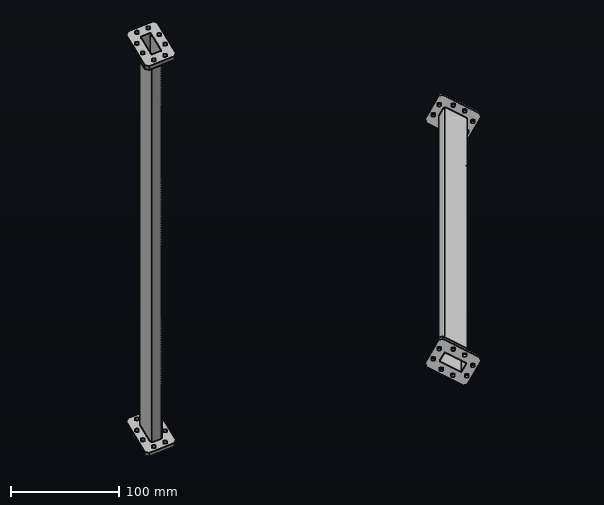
import cadquery as cq

length = 609.6
bore_x = 22.86
bore_y = 10.16
wall = 1.27
tube_x = bore_x + 2 * wall
tube_y = bore_y + 2 * wall
tube_corner_radius = 2.5
bottom_z = -length / 2

flange_rim = 11.0
flange_x = bore_x + 2 * flange_rim
flange_y = bore_y + 2 * flange_rim
flange_thickness = 6.0
flange_corner_chamfer = 3.0

hole_diameter = 3.8
x_side_row = 17.7
x_side_half_pitch = 5.8
y_side_row = 11.5
y_side_half_pitch = 6.1


def box_bar(size_x, size_y, height, base_z):
    """Rectangular bar centred on the Z axis, standing on base_z."""
    return cq.Workplane("XY", origin=(0, 0, base_z)).rect(size_x, size_y).extrude(height)


def bolt_points():
    """Centres of the eight bolt holes of one flange."""
    points = []
    for sign_x in (-1, 1):
        for sign_y in (-1, 1):
            points.append((sign_x * x_side_row, sign_y * x_side_half_pitch))
            points.append((sign_x * y_side_half_pitch, sign_y * y_side_row))
    return points


def flange(base_z):
    """Flange plate with chamfered corners and through bolt holes."""
    plate = box_bar(flange_x, flange_y, flange_thickness, base_z)
    plate = plate.edges("|Z").chamfer(flange_corner_chamfer)
    holes = (
        cq.Workplane("XY", origin=(0, 0, base_z))
        .pushPoints(bolt_points())
        .circle(hole_diameter / 2)
        .extrude(flange_thickness)
    )
    return plate.cut(holes)


def waveguide():
    """Tube with a flange at each end and a rectangular bore right through."""
    body = box_bar(tube_x, tube_y, length, bottom_z)
    body = body.edges("|Z").fillet(tube_corner_radius)
    top_flange_z = bottom_z + length - flange_thickness
    for base_z in (bottom_z, top_flange_z):
        body = body.union(flange(base_z))
    return body.cut(box_bar(bore_x, bore_y, length, bottom_z))


result = waveguide()